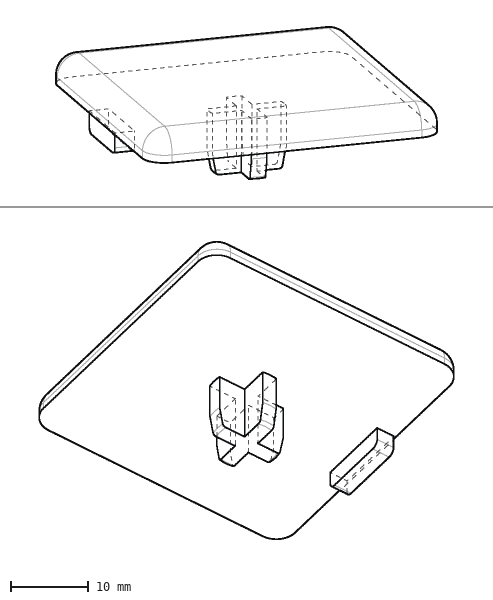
import cadquery as cq

plate_side = 40.0
plate_height = 4.1
edge_radius = 3.0

plug_radius = 5.15
plug_depth = 8.4
fin_thickness = 2.1
taper_start_depth = 5.35
taper_inset = 0.55
tip_radius = 0.5

tab_width = 2 * plug_radius
tab_thickness = 2.65
tab_depth = 2.95
tab_setback = 0.3
tab_corner_radius = 0.95


def make_plate():
    """Square plate with rounded corners and a fully rounded top edge."""
    block = cq.Workplane("XY").box(plate_side, plate_side, plate_height, centered=(True, True, False))
    return block.edges("|Z").fillet(edge_radius).faces(">Z").edges().fillet(edge_radius)


def make_plug():
    """Crossed fins trimmed to a cylinder that tapers to a rounded tip."""
    envelope = (
        cq.Workplane("XZ")
        .lineTo(plug_radius, 0)
        .lineTo(plug_radius, -taper_start_depth)
        .lineTo(plug_radius - taper_inset, -plug_depth)
        .lineTo(0, -plug_depth)
        .close()
        .revolve(360, (0, 0), (0, 1))
        .faces("<Z")
        .edges()
        .fillet(tip_radius)
    )
    fin = cq.Workplane("XY").rect(2 * plug_radius, fin_thickness).extrude(-plug_depth)
    cross = fin.union(fin.rotate((0, 0, 0), (0, 0, 1), 90))
    return envelope.intersect(cross)


def make_tab():
    """Rectangular tab with its two lower corners rounded."""
    tab_center_y = -plate_side / 2 + tab_setback + tab_thickness / 2
    return (
        cq.Workplane("XY")
        .center(0, tab_center_y)
        .rect(tab_width, tab_thickness)
        .extrude(-tab_depth)
        .faces("<Z")
        .edges("|Y")
        .fillet(tab_corner_radius)
    )


result = make_plate().union(make_plug()).union(make_tab())